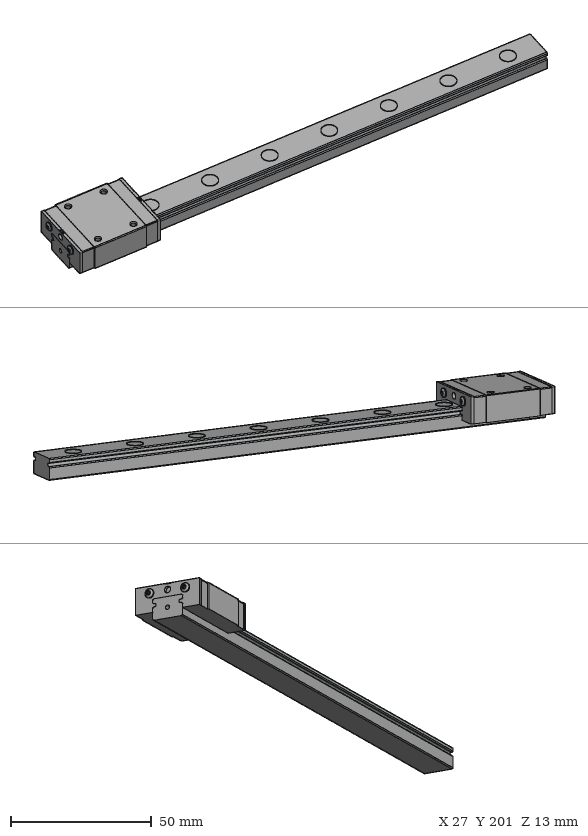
import cadquery as cq

RAIL_LENGTH = 200.0
RAIL_WIDTH = 12.0
RAIL_HEIGHT = 8.0
RAIL_CHAMFER = 0.5
RACE_Z = 5.6
RACE_RADIUS = 0.6
RACE_DEPTH = 1.5
RACE_LIP = 0.5
RAIL_HOLE_DIAMETER = 6.0
RAIL_HOLE_PITCH = 25.0
RAIL_HOLE_COUNT = 8
RAIL_HOLE_DEPTH = 0.2
END_HOLE_DIAMETER = 1.6
END_HOLE_DEPTH = 3.0
END_HOLE_Z = 4.0

CARRIAGE_LENGTH = 33.8
CARRIAGE_BOTTOM = 3.0
CARRIAGE_TOP = 13.0
CARRIAGE_MIDDLE = CARRIAGE_LENGTH / 2
STEEL_WIDTH = 27.0
STEEL_LENGTH = 21.7
STEEL_CHAMFER_HEIGHT = 0.2
STEEL_CHAMFER_WIDTH = 0.5
PLATE_WIDTH = 26.1
PLATE_THICKNESS = 1.2
PLATE_FILLET = 0.3
CAP_INSET = 0.1
CAP_CHAMFER_HEIGHT = 0.5
CAP_CHAMFER_WIDTH = 0.2
MOUNT_SPACING_X = 20.0
MOUNT_SPACING_Y = 14.9
MOUNT_DIAMETER = 1.8
MOUNT_DEPTH = 3.0
COUNTERSINK_DIAMETER = 2.6
COUNTERSINK_ANGLE = 90

SCREW_SPACING = 14.5
SCREW_Z = 10.2
SCREW_DIAMETER = 3.5
HEAD_HEIGHT = 1.0
HEAD_RIM = 0.5
HEAD_FLAT_DIAMETER = 1.6
SOCKET_SIZE = 1.2
SOCKET_DEPTH = 0.6
PORT_DIAMETER = 2.5
PORT_Z = 10.6
SLOT_LENGTH = 2.0
SLOT_WIDTH = 0.6
SLOT_DEPTH = 0.2


def rail_bar():
    """The rail without its holes: a chamfered bar with a round-bottomed ball race along each side."""
    bar = (
        cq.Workplane("XY")
        .box(RAIL_WIDTH, RAIL_LENGTH, RAIL_HEIGHT, centered=(True, False, False))
        .edges("|Y")
        .chamfer(RAIL_CHAMFER)
    )
    mouth_x = RAIL_WIDTH / 2
    lip_x = mouth_x - RACE_LIP
    mouth_half = RACE_RADIUS + RACE_LIP
    arc_x = mouth_x - RACE_DEPTH + RACE_RADIUS
    race = (
        cq.Workplane("XZ", origin=(0, 0, RACE_Z))
        .moveTo(mouth_x, -mouth_half)
        .lineTo(lip_x, -RACE_RADIUS)
        .lineTo(arc_x, -RACE_RADIUS)
        .threePointArc((mouth_x - RACE_DEPTH, 0), (arc_x, RACE_RADIUS))
        .lineTo(lip_x, RACE_RADIUS)
        .lineTo(mouth_x, mouth_half)
        .close()
        .extrude(-RAIL_LENGTH)
    )
    return bar.cut(race).cut(race.mirror("YZ"))


def make_rail():
    """The rail with a row of shallow round recesses on top and a blind hole in its front end."""
    first_hole_y = (RAIL_LENGTH - (RAIL_HOLE_COUNT - 1) * RAIL_HOLE_PITCH) / 2
    centres = [(0, first_hole_y + i * RAIL_HOLE_PITCH) for i in range(RAIL_HOLE_COUNT)]
    recesses = (
        cq.Workplane("XY", origin=(0, 0, RAIL_HEIGHT))
        .pushPoints(centres)
        .circle(RAIL_HOLE_DIAMETER / 2)
        .extrude(-RAIL_HOLE_DEPTH)
    )
    end_hole = (
        cq.Workplane("XZ", origin=(0, 0, END_HOLE_Z)).circle(END_HOLE_DIAMETER / 2).extrude(-END_HOLE_DEPTH)
    )
    return rail_bar().cut(recesses).cut(end_hole)


def centred_block(width, length, bottom, top):
    """A box across the middle of the carriage."""
    return (
        cq.Workplane("XY", origin=(0, CARRIAGE_MIDDLE, bottom))
        .box(width, length, top - bottom, centered=(True, True, False))
    )


def screw():
    """A socket screw on the Y axis: a chamfered head toward -Y and a shank through the end plate."""
    radius = SCREW_DIAMETER / 2
    solid = (
        cq.Workplane("XY")
        .moveTo(0, PLATE_THICKNESS)
        .lineTo(radius, PLATE_THICKNESS)
        .lineTo(radius, -HEAD_RIM)
        .lineTo(HEAD_FLAT_DIAMETER / 2, -HEAD_HEIGHT)
        .lineTo(0, -HEAD_HEIGHT)
        .close()
        .revolve(360, (0, 0), (0, 1))
    )
    socket = cq.Workplane("XZ", origin=(0, -HEAD_HEIGHT, 0)).polygon(6, SOCKET_SIZE).extrude(-SOCKET_DEPTH)
    return solid.cut(socket)


def front_end_cuts():
    """The port in the face of the front end plate and the slot in its top."""
    port = cq.Workplane("XZ", origin=(0, 0, PORT_Z)).circle(PORT_DIAMETER / 2).extrude(-PLATE_THICKNESS)
    slot = (
        cq.Workplane("XY", origin=(0, PLATE_THICKNESS / 2, CARRIAGE_TOP))
        .rect(SLOT_LENGTH, SLOT_WIDTH)
        .extrude(-SLOT_DEPTH)
    )
    return port.union(slot)


def to_back_end(shape):
    """The mirror image of a front-end shape at the back end of the carriage."""
    return shape.mirror("XZ", (0, CARRIAGE_MIDDLE, 0))


def carriage_blank():
    """The end plates, end caps and steel block joined together, without holes or rail channel."""
    cap_length = CARRIAGE_LENGTH - 2 * PLATE_THICKNESS
    plates = centred_block(PLATE_WIDTH, CARRIAGE_LENGTH, CARRIAGE_BOTTOM, CARRIAGE_TOP)
    plates = plates.edges("|Y").fillet(PLATE_FILLET)
    plates = plates.cut(centred_block(PLATE_WIDTH, cap_length, CARRIAGE_BOTTOM, CARRIAGE_TOP))

    caps = centred_block(PLATE_WIDTH - 2 * CAP_INSET, cap_length, CARRIAGE_BOTTOM, CARRIAGE_TOP - CAP_INSET)
    caps = caps.edges(">Z and |Y").chamfer(CAP_CHAMFER_HEIGHT, CAP_CHAMFER_WIDTH)

    steel = centred_block(STEEL_WIDTH, STEEL_LENGTH, CARRIAGE_BOTTOM, CARRIAGE_TOP)
    steel = steel.edges(">Z and |Y").chamfer(STEEL_CHAMFER_HEIGHT, STEEL_CHAMFER_WIDTH)
    return caps.union(plates).union(steel)


def make_carriage():
    """The carriage with its screws, end cuts and mounting holes, fitted closely around the rail."""
    carriage = carriage_blank()

    end_cuts = front_end_cuts()
    carriage = carriage.cut(end_cuts).cut(to_back_end(end_cuts))

    for side in (-1, 1):
        front_screw = screw().translate((side * SCREW_SPACING / 2, 0, SCREW_Z))
        carriage = carriage.union(front_screw).union(to_back_end(front_screw))

    carriage = carriage.cut(rail_bar())

    return (
        carriage.copyWorkplane(cq.Workplane("XY", origin=(0, CARRIAGE_MIDDLE, CARRIAGE_TOP)))
        .rect(MOUNT_SPACING_X, MOUNT_SPACING_Y, forConstruction=True)
        .vertices()
        .cskHole(MOUNT_DIAMETER, COUNTERSINK_DIAMETER, COUNTERSINK_ANGLE, MOUNT_DEPTH)
    )


rail = make_rail()
carriage = make_carriage()

result = cq.Compound.makeCompound([rail.val(), carriage.val()])